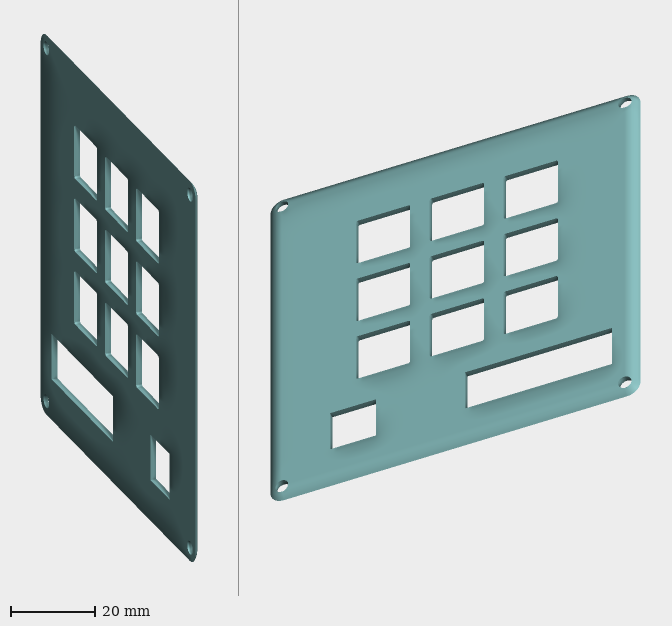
import cadquery as cq
import math

WIDTH = 95.7
HEIGHT = 99.45
THICKNESS = 1.5
CORNER_RADIUS = 3.5
EDGE_RUN = CORNER_RADIUS

SCREW_DIAMETER = 3.4

KEY_SIZE = 14.0
KEY_PITCH = 19.1
KEY_CORNER_RADIUS = 0.5
KEY_GRID_X = -1.0
KEY_GRID_Z = 7.7

LOWER_ROW_Z = -33.1
LOWER_WINDOW_HEIGHT = 11.9
DISPLAY_WIDTH = 38.0
DISPLAY_X = -22.1
SQUARE_X = 25.9

ARC_RADIUS = (EDGE_RUN**2 + THICKNESS**2) / (2 * THICKNESS)
FRONT_Y = -THICKNESS / 2
BACK_Y = THICKNESS / 2

CORNER_X = WIDTH / 2 - CORNER_RADIUS
CORNER_Z = HEIGHT / 2 - CORNER_RADIUS


def border_y(inset):
    """Y of the curved border at a distance inward from the outer edge."""
    return BACK_Y - ARC_RADIUS + math.sqrt(ARC_RADIUS**2 - (EDGE_RUN - inset) ** 2)


def domed_strip(plane, width, length):
    """Strip with both long edges curved, extruded symmetrically about the plane."""
    edge = width / 2
    flat = edge - EDGE_RUN
    middle = edge - EDGE_RUN / 2
    middle_y = border_y(EDGE_RUN / 2)
    return (
        cq.Workplane(plane)
        .moveTo(-edge, FRONT_Y)
        .lineTo(edge, FRONT_Y)
        .threePointArc((middle, middle_y), (flat, BACK_Y))
        .lineTo(-flat, BACK_Y)
        .threePointArc((-middle, middle_y), (-edge, FRONT_Y))
        .close()
        .extrude(length / 2, both=True)
    )


def rounded_corner():
    """Turned button whose rim carries the same curved border around a corner."""
    half_radius = CORNER_RADIUS / 2
    return (
        cq.Workplane("XY")
        .moveTo(0, FRONT_Y)
        .lineTo(CORNER_RADIUS, FRONT_Y)
        .threePointArc((half_radius, border_y(half_radius)), (0, BACK_Y))
        .close()
        .revolve(360, (0, 0, 0), (0, 1, 0))
    )


def plate():
    across = domed_strip("XY", WIDTH, HEIGHT)
    upright = domed_strip(cq.Plane((0, 0, 0), xDir=(0, 0, 1), normal=(-1, 0, 0)), HEIGHT, WIDTH)
    body = across.intersect(upright)
    corner = rounded_corner()
    for side_x in (-1, 1):
        for side_z in (-1, 1):
            block = cq.Workplane("XY").box(CORNER_RADIUS, THICKNESS, CORNER_RADIUS).translate(
                (side_x * (CORNER_X + CORNER_RADIUS / 2), 0, side_z * (CORNER_Z + CORNER_RADIUS / 2))
            )
            button = corner.translate((side_x * CORNER_X, 0, side_z * CORNER_Z))
            body = body.cut(block).union(button.intersect(block))
    return body


def window(x, z, width, height):
    """Cutter for a rectangular window through the plate."""
    return cq.Workplane("XY").box(width, 2 * THICKNESS, height).translate((x, 0, z))


def cut_screw_holes(body):
    holes = (
        cq.Workplane("XZ")
        .rect(2 * CORNER_X, 2 * CORNER_Z, forConstruction=True)
        .vertices()
        .circle(SCREW_DIAMETER / 2)
        .extrude(THICKNESS, both=True)
    )
    return body.cut(holes)


def cut_key_windows(body):
    for column in (-1, 0, 1):
        for row in (-1, 0, 1):
            x = KEY_GRID_X + column * KEY_PITCH
            z = KEY_GRID_Z + row * KEY_PITCH
            key = window(x, z, KEY_SIZE, KEY_SIZE).edges("|Y").fillet(KEY_CORNER_RADIUS)
            body = body.cut(key)
    return body


def cut_lower_windows(body):
    display = window(DISPLAY_X, LOWER_ROW_Z, DISPLAY_WIDTH, LOWER_WINDOW_HEIGHT)
    square = window(SQUARE_X, LOWER_ROW_Z, LOWER_WINDOW_HEIGHT, LOWER_WINDOW_HEIGHT)
    return body.cut(display).cut(square)


result = cut_lower_windows(cut_key_windows(cut_screw_holes(plate())))